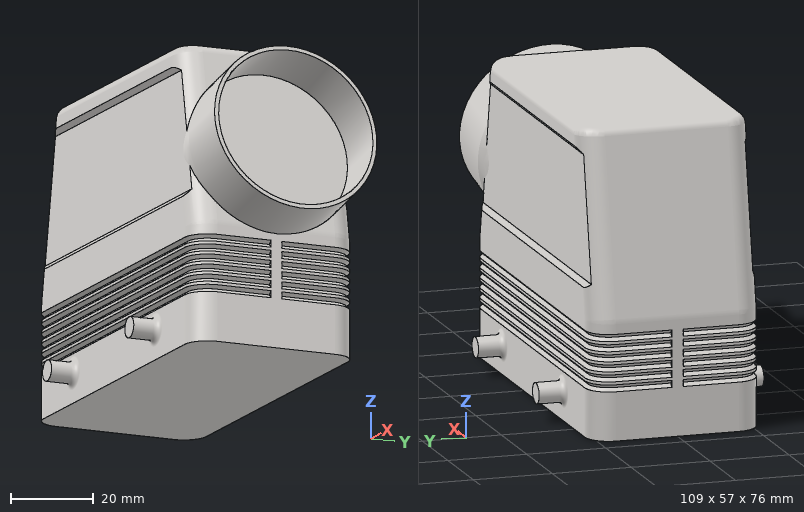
import cadquery as cq
import math

OVERALL_LENGTH = 109.0

HOOD_LENGTH = 93.7
HOOD_WIDTH = 43.2
HOOD_HEIGHT = 76.0
SHOULDER_HEIGHT = 29.6
END_TILT = 11.0
CORNER_RADIUS = 6.0
TOP_FILLET = 2.7

RECESS_DEPTH = 1.1
RECESS_BOTTOM = 37.1
RECESS_TOP = 70.5
RECESS_BORDER = 1.3

GROOVE_COUNT = 6
GROOVE_PITCH = 2.5
GROOVE_HEIGHT = 1.7
GROOVE_DEPTH = 0.9
LOWEST_GROOVE = 13.2
GROOVE_GAP = 2.9

PIN_SPACING = 47.6
PIN_HEIGHT = 7.4
PIN_RADIUS = 2.6
PIN_FLARE = 1.5
PIN_ROOT_DEPTH = 1.1
PIN_TIP_SPAN = 57.0

OUTLET_RADIUS = 21.5
OUTLET_LENGTH = 15.0
OUTLET_WALL = 1.1
OUTLET_FACE_Z = 52.3
NECK_LENGTH = 8.7
NECK_TAPER = 10.0

HALF_LENGTH = HOOD_LENGTH / 2
HALF_WIDTH = HOOD_WIDTH / 2


def make_hood():
    """Box with upper end walls that lean inward and rounded corners."""
    lean = (HOOD_HEIGHT - SHOULDER_HEIGHT) * math.tan(math.radians(END_TILT))
    top_half_length = HALF_LENGTH - lean
    hood = (
        cq.Workplane("XZ")
        .moveTo(-HALF_LENGTH, 0)
        .lineTo(HALF_LENGTH, 0)
        .lineTo(HALF_LENGTH, SHOULDER_HEIGHT)
        .lineTo(top_half_length, HOOD_HEIGHT)
        .lineTo(-top_half_length, HOOD_HEIGHT)
        .lineTo(-HALF_LENGTH, SHOULDER_HEIGHT)
        .close()
        .extrude(HALF_WIDTH, both=True)
    )
    margin = 1.1
    shoulder_band = cq.selectors.BoxSelector(
        (-HOOD_LENGTH, -HOOD_WIDTH, SHOULDER_HEIGHT - margin),
        (HOOD_LENGTH, HOOD_WIDTH, SHOULDER_HEIGHT + margin),
    )
    hood = hood.edges("not #Z").add(hood.edges(shoulder_band)).fillet(CORNER_RADIUS)
    return hood.faces(">Z").edges().fillet(TOP_FILLET)


def make_recess():
    """Full-length cutter for the recess on the -Y side."""
    floor_y = RECESS_DEPTH - HALF_WIDTH
    return (
        cq.Workplane("YZ")
        .moveTo(-HALF_WIDTH, RECESS_BOTTOM)
        .lineTo(floor_y, RECESS_BOTTOM + RECESS_BORDER)
        .lineTo(floor_y, RECESS_TOP - RECESS_BORDER)
        .lineTo(-HALF_WIDTH, RECESS_TOP)
        .close()
        .extrude(HALF_LENGTH, both=True)
    )


def make_groove(height):
    """V-shaped ring cutter around the base, broken at the middle of both end walls."""
    base = cq.Workplane("XY", origin=(0, 0, height))
    block = base.rect(HOOD_LENGTH, HOOD_WIDTH).extrude(GROOVE_HEIGHT)
    path = block.edges("|Z").fillet(CORNER_RADIUS).faces("<Z").wires()
    groove = (
        cq.Workplane("YZ")
        .moveTo(-HALF_WIDTH, height - GROOVE_HEIGHT / 2)
        .lineTo(GROOVE_DEPTH - HALF_WIDTH, height)
        .lineTo(-HALF_WIDTH, height + GROOVE_HEIGHT / 2)
        .close()
        .sweep(path)
    )
    gap = base.box(2 * HOOD_LENGTH, GROOVE_GAP, 2 * GROOVE_HEIGHT)
    return groove.cut(gap)


def make_pin(x):
    """Pin on the -Y side whose root flares out to meet the wall."""
    root = PIN_ROOT_DEPTH - HALF_WIDTH
    root_radius = PIN_RADIUS + PIN_FLARE
    tip = -PIN_TIP_SPAN / 2
    flare_end = -HALF_WIDTH - PIN_FLARE
    arc_inset = PIN_FLARE * (1 - math.sqrt(0.5))
    return (
        cq.Workplane("XY", origin=(x, 0, PIN_HEIGHT))
        .moveTo(0, root)
        .lineTo(root_radius, root)
        .lineTo(root_radius, -HALF_WIDTH)
        .threePointArc((PIN_RADIUS + arc_inset, -HALF_WIDTH - arc_inset), (PIN_RADIUS, flare_end))
        .lineTo(PIN_RADIUS, tip)
        .lineTo(0, tip)
        .close()
        .revolve(360, (0, 0, 0), (0, 1, 0))
    )


def outlet_plane():
    """Plane of the outlet mouth, its normal pointing out of the hood."""
    tilt = math.radians(END_TILT)
    face_x = OVERALL_LENGTH - HALF_LENGTH - OUTLET_RADIUS * math.sin(tilt)
    return cq.Plane(
        origin=(face_x, 0, OUTLET_FACE_Z),
        xDir=(0, 1, 0),
        normal=(math.cos(tilt), 0, math.sin(tilt)),
    )


def make_outlet():
    """Outlet cylinder with a tapered neck that sinks into the hood."""
    mouth = cq.Workplane(outlet_plane())
    tube = mouth.circle(OUTLET_RADIUS).extrude(-OUTLET_LENGTH)
    tube_back = mouth.workplane(offset=-OUTLET_LENGTH)
    neck = tube_back.circle(OUTLET_RADIUS).extrude(-NECK_LENGTH, taper=NECK_TAPER)
    return tube.union(neck)


def make_bore():
    """Round pocket that leaves the outlet as a thin tube."""
    return cq.Workplane(outlet_plane()).circle(OUTLET_RADIUS - OUTLET_WALL).extrude(-OUTLET_LENGTH)


recess = make_recess()
result = make_hood().cut(recess).cut(recess.mirror("XZ"))

for index in range(GROOVE_COUNT):
    result = result.cut(make_groove(LOWEST_GROOVE + index * GROOVE_PITCH))

for pin_x in (-PIN_SPACING / 2, PIN_SPACING / 2):
    pin = make_pin(pin_x)
    result = result.union(pin).union(pin.mirror("XZ"))

result = result.union(make_outlet()).cut(make_bore())